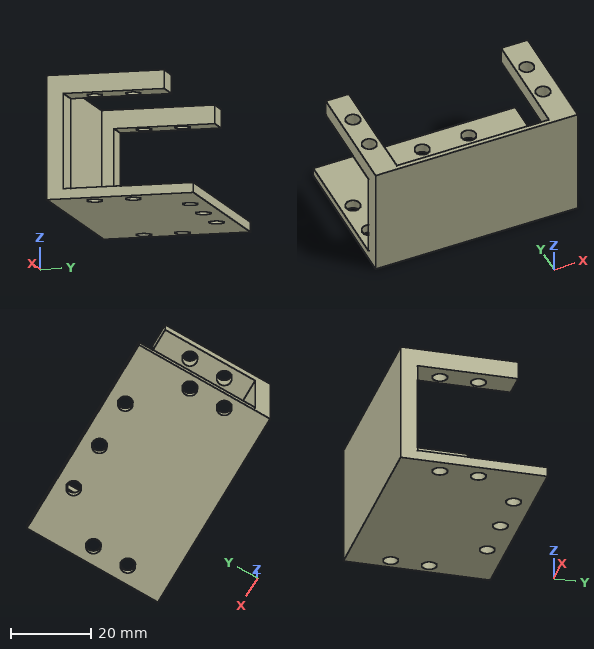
import cadquery as cq

width = 55.1
depth = 37.85
height = 31.5

plate_thickness = 2.6
arm_thickness = 4.8
left_arm_width = 6.35
right_arm_width = 7.35
arm_length = 30.3
post_depth = 4.35
wall_thickness = 1.2

hole_diameter = 3.8
left_hole_inset = 3.35
right_hole_inset = 4.4
side_hole_first_y = 11.3
side_hole_spacing = 9.9
rear_hole_inset = 4.8
rear_hole_spacing = 12.7


def corner_box(x_size, y_size, z_size, x=0, y=0, z=0):
    """Box whose lowest corner lies at the given point."""
    return cq.Workplane("XY").box(x_size, y_size, z_size, centered=False).translate((x, y, z))


def side_frame(x, arm_width):
    """Corner post with an arm reaching back from its top."""
    post = corner_box(arm_width, post_depth, height, x)
    arm = corner_box(arm_width, arm_length, arm_thickness, x, 0, height - arm_thickness)
    return post.union(arm)


body = corner_box(width, depth, plate_thickness)
body = body.union(corner_box(width, wall_thickness, height))
body = body.union(side_frame(0, left_arm_width))
body = body.union(side_frame(width - right_arm_width, right_arm_width))

side_holes = [
    (x, side_hole_first_y + row * side_hole_spacing)
    for x in (left_hole_inset, width - right_hole_inset)
    for row in range(2)
]
rear_holes = [
    (width / 2 + step * rear_hole_spacing, depth - rear_hole_inset)
    for step in (-1, 0, 1)
]
holes = (
    cq.Workplane("XY")
    .pushPoints(side_holes + rear_holes)
    .circle(hole_diameter / 2)
    .extrude(height)
)

result = body.cut(holes)